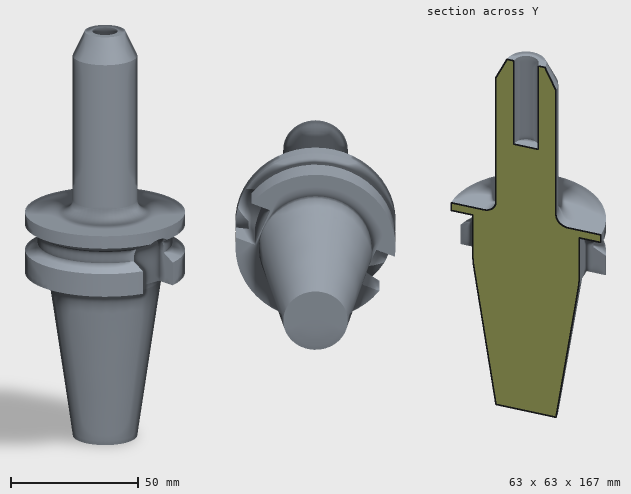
import cadquery as cq
import math


gauge_diameter = 44.45
taper_rate = 7 / 24
taper_length = 65.4
collar_height = 2.0

flange_diameter = 63.0
flange_top = 27.0
groove_floor_diameter = 53.0
groove_floor_width = 4.7
groove_center_height = 16.6
groove_wall_angle = 30.0

slot_width = 16.1
slot_floor_distance = 22.5
slot_top = 23.1

overall_length = 167.0
nose_diameter = 25.4
nose_fillet_radius = 5.0
tip_diameter = 16.0
tip_cone_length = 10.0

bore_diameter = 10.0
bore_depth = 40.0

gauge_radius = gauge_diameter / 2
taper_end_radius = gauge_radius - taper_length * taper_rate / 2
flange_radius = flange_diameter / 2
groove_floor_radius = groove_floor_diameter / 2
groove_wall_height = (flange_radius - groove_floor_radius) * math.tan(math.radians(groove_wall_angle))
groove_floor_low = groove_center_height - groove_floor_width / 2
groove_floor_high = groove_center_height + groove_floor_width / 2
nose_radius = nose_diameter / 2
nose_top = overall_length - taper_length
fillet_mid_offset = nose_fillet_radius * (1 - math.sqrt(0.5))


def make_body():
    """Taper, flange, grooved rim and nose as one revolved profile (radius, height)."""
    profile = (
        cq.Workplane("XZ")
        .moveTo(0, -taper_length)
        .lineTo(taper_end_radius, -taper_length)
        .lineTo(gauge_radius, 0)
        .lineTo(gauge_radius, collar_height)
        .lineTo(flange_radius, collar_height)
        .lineTo(flange_radius, groove_floor_low - groove_wall_height)
        .lineTo(groove_floor_radius, groove_floor_low)
        .lineTo(groove_floor_radius, groove_floor_high)
        .lineTo(flange_radius, groove_floor_high + groove_wall_height)
        .lineTo(flange_radius, flange_top)
        .lineTo(nose_radius + nose_fillet_radius, flange_top)
        .threePointArc(
            (nose_radius + fillet_mid_offset, flange_top + fillet_mid_offset),
            (nose_radius, flange_top + nose_fillet_radius),
        )
        .lineTo(nose_radius, nose_top - tip_cone_length)
        .lineTo(tip_diameter / 2, nose_top)
        .lineTo(0, nose_top)
        .close()
    )
    return profile.revolve(360, (0, 0, 0), (0, 1, 0))


def make_drive_slot(side):
    """Round-topped cutter, open at the flange underside, on the +X (1) or -X (-1) side."""
    half_width = slot_width / 2
    arc_center_height = slot_top - half_width
    return (
        cq.Workplane("YZ", origin=(side * slot_floor_distance, 0, 0))
        .moveTo(-half_width, collar_height)
        .lineTo(half_width, collar_height)
        .lineTo(half_width, arc_center_height)
        .threePointArc((0, slot_top), (-half_width, arc_center_height))
        .close()
        .extrude(side * flange_radius)
    )


def make_bore():
    """Blind tool bore, sunk from the nose tip."""
    return cq.Workplane("XY", origin=(0, 0, nose_top)).circle(bore_diameter / 2).extrude(-bore_depth)


result = make_body()
for slot_side in (-1, 1):
    result = result.cut(make_drive_slot(slot_side))
result = result.cut(make_bore())